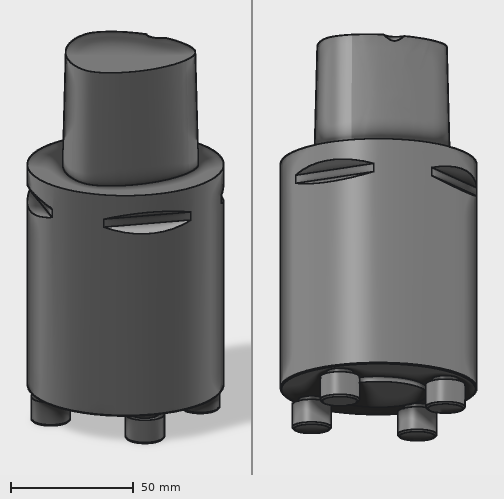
import cadquery as cq
import math

total_height = 155.4
flange_z = 107.2
body_bottom_z = 12.5
spigot_bottom_z = 10.3

body_diameter = 80.0
body_radius = body_diameter / 2
body_chamfer = 0.5
spigot_diameter = 40.0

shank_base_diameter = 55.3
shank_taper = 1 / 20
lobe_height = 2.0
lobe_count = 3
lobe_half_angle = 34.0
lobe_pitch = 360 / lobe_count
first_lobe_direction = -90.0
segment_intervals = 8

marker_half_width = 4.7
marker_inset = 2.5

groove_z = 95.1
groove_floor_distance = 35.6
groove_floor_height = 3.4
groove_mouth_height = 9.2

screw_count = 4
screw_offset = 22.2
screw_head_diameter = 16.0
screw_neck_diameter = 10.9
screw_head_chamfer = 0.8

first_diagonal = 45.0
quarter_turn = 360 / screw_count


def cylinder(diameter, bottom, top):
    return cq.Workplane("XY").workplane(offset=bottom).circle(diameter / 2).extrude(top - bottom)


def polygon_point(mean_radius, normal_angle):
    """Point whose outward normal has this angle, on the curve of constant width."""
    angle = math.radians(normal_angle)
    phase = lobe_count * math.radians(normal_angle - first_lobe_direction)
    support = mean_radius + lobe_height * math.cos(phase)
    slope = -lobe_count * lobe_height * math.sin(phase)
    x = support * math.cos(angle) - slope * math.sin(angle)
    y = support * math.sin(angle) + slope * math.cos(angle)
    return x, y


def polygon_segment(mean_radius, z, start, end):
    step = (end - start) / segment_intervals
    angles = [start + i * step for i in range(segment_intervals + 1)]
    points = [cq.Vector(*polygon_point(mean_radius, a), z) for a in angles]
    tangents = [
        cq.Vector(-math.sin(math.radians(a)), math.cos(math.radians(a)), 0) for a in (start, end)
    ]
    return cq.Edge.makeSpline(points, tangents=tangents)


def polygon_wire(mean_radius, z):
    """Closed outline of alternating lobes and flanks."""
    edges = []
    for i in range(lobe_count):
        lobe = first_lobe_direction + i * lobe_pitch
        lobe_start = lobe - lobe_half_angle
        lobe_end = lobe + lobe_half_angle
        edges.append(polygon_segment(mean_radius, z, lobe_start, lobe_end))
        edges.append(polygon_segment(mean_radius, z, lobe_end, lobe_start + lobe_pitch))
    return cq.Wire.assembleEdges(edges)


shank_base_radius = shank_base_diameter / 2
shank_top_radius = shank_base_radius - shank_taper * (total_height - flange_z) / 2


def make_shank():
    base = polygon_wire(shank_base_radius, flange_z)
    top = polygon_wire(shank_top_radius, total_height)
    return cq.Workplane(obj=cq.Solid.makeLoft([base, top], True))


def make_marker():
    flank_y = shank_top_radius - lobe_height
    radius = (marker_half_width**2 + marker_inset**2) / (2 * marker_inset)
    center = cq.Vector(0, flank_y - marker_inset + radius, total_height)
    return cq.Workplane(obj=cq.Solid.makeCone(radius, 0, radius, center, cq.Vector(0, 0, -1)))


def make_groove(direction):
    """Straight groove with a flat floor and walls that flare outwards."""
    floor_half = groove_floor_height / 2
    mouth_half = groove_mouth_height / 2
    flare = (mouth_half - floor_half) / (body_radius - groove_floor_distance)
    clearance = 1.5
    outer_distance = body_radius + clearance
    outer_half = mouth_half + flare * clearance
    return (
        cq.Workplane("XZ")
        .moveTo(groove_floor_distance, groove_z - floor_half)
        .lineTo(outer_distance, groove_z - outer_half)
        .lineTo(outer_distance, groove_z + outer_half)
        .lineTo(groove_floor_distance, groove_z + floor_half)
        .close()
        .extrude(body_radius, both=True)
        .rotate((0, 0, 0), (0, 0, 1), direction)
    )


def make_screw(direction):
    head = cylinder(screw_head_diameter, 0, spigot_bottom_z).faces("<Z").chamfer(screw_head_chamfer)
    neck = cylinder(screw_neck_diameter, spigot_bottom_z, body_bottom_z)
    radial_offset = screw_offset * math.sqrt(2)
    return head.union(neck).translate((radial_offset, 0, 0)).rotate((0, 0, 0), (0, 0, 1), direction)


body = cylinder(body_diameter, body_bottom_z, flange_z).faces("<Z").chamfer(body_chamfer)
result = body.union(cylinder(spigot_diameter, spigot_bottom_z, body_bottom_z))
result = result.union(make_shank()).cut(make_marker())
for i in range(screw_count):
    diagonal = first_diagonal + i * quarter_turn
    result = result.cut(make_groove(diagonal)).union(make_screw(diagonal))